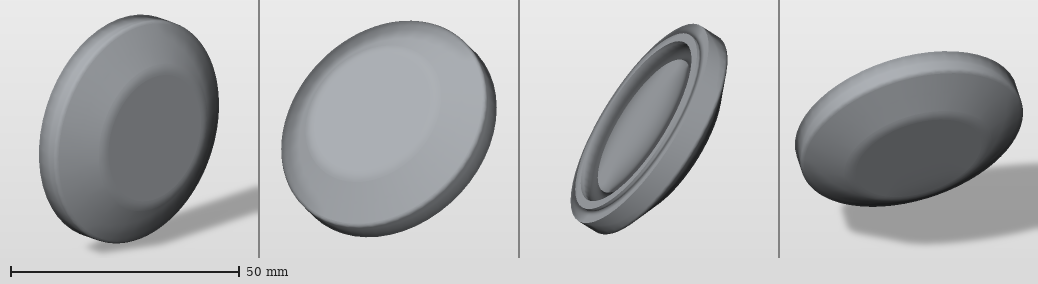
import cadquery as cq

outer_radius = 25.25
total_thickness = 11.5

lip_radius = 22.25
lip_height = 0.95

cone_start = 6.2
cone_end_radius = 15.55
rim_round = 1.1
crown_round = 5.0

recess_depth = 2.1
groove_outer_radius = 20.25
groove_inner_radius = 16.85
groove_section_radius = (groove_outer_radius - groove_inner_radius) / 2
groove_center_radius = (groove_outer_radius + groove_inner_radius) / 2


def revolve_about_x(profile):
    return profile.close().revolve(360, (0, 0, 0), (1, 0, 0))


body = revolve_about_x(
    cq.Workplane("XY")
    .moveTo(0, 0)
    .lineTo(0, lip_radius)
    .lineTo(lip_height, lip_radius)
    .lineTo(lip_height, outer_radius)
    .lineTo(cone_start, outer_radius)
    .lineTo(total_thickness, cone_end_radius)
    .lineTo(total_thickness, 0)
)

cone_edges = body.faces("%CONE").edges("%CIRCLE")
body = cone_edges.edges("<X").fillet(rim_round)
body = body.faces(">X").edges().fillet(crown_round)

recess = revolve_about_x(
    cq.Workplane("XY")
    .moveTo(0, 0)
    .lineTo(recess_depth, 0)
    .lineTo(recess_depth, groove_inner_radius)
    .threePointArc(
        (recess_depth + groove_section_radius, groove_center_radius),
        (recess_depth, groove_outer_radius),
    )
    .lineTo(0, groove_outer_radius)
)

result = body.cut(recess)